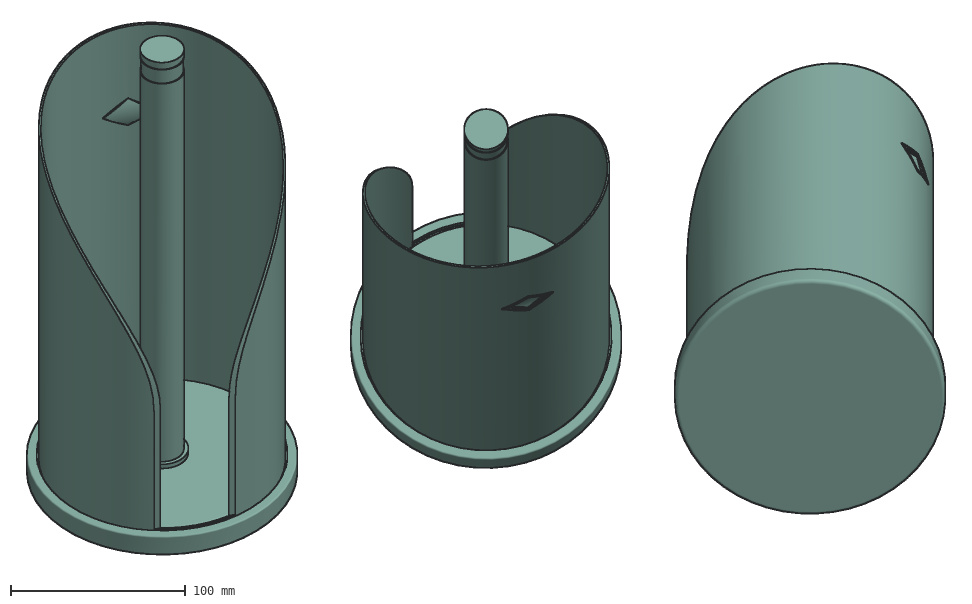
import cadquery as cq

total_height = 307.0

base_diameter = 155.0
base_radius = base_diameter / 2
rim_height = 14.0
floor_height = 15.0
groove_outer_radius = 72.0
groove_depth = 3.0
top_edge_fillet = 1.0
bottom_edge_fillet = 2.0

tube_radius = 70.5
tube_wall = 1.2
tube_inner_radius = tube_radius - tube_wall
tube_bottom = rim_height - groove_depth
tube_top = 272.5
opening_x = 66.3
opening_curve_end = 99.5
upper_handle_run = 78.5
upper_handle_drop = 27.0
lower_handle_rise = 101.0

dent_center_height = 210.0
frame_half_width = 15.7
frame_half_height = 9.8
frame_depth = 0.45
dent_half_width = 11.7
dent_half_height = 7.5
dent_depth = 2.0
dent_floor_radius = 21.5

rod_radius = 12.5
collar_radius = 15.0
collar_height = 3.0
head_height = 5.2
neck_height = 10.0
neck_depth = 0.45

overshoot = 6.0


def ring(outer_radius, inner_radius, bottom, height):
    """Upright ring centred on the Z axis."""
    return cq.Workplane("XY").workplane(offset=bottom).circle(outer_radius).circle(inner_radius).extrude(height)


def make_base():
    plate = cq.Workplane("XY").circle(base_radius).extrude(rim_height)
    plate = plate.faces(">Z").edges().fillet(top_edge_fillet)
    plate = plate.faces("<Z").edges().fillet(bottom_edge_fillet)
    floor = cq.Workplane("XY").circle(tube_inner_radius).extrude(floor_height)
    floor = floor.faces(">Z").edges().fillet(top_edge_fillet)
    groove = ring(groove_outer_radius, tube_inner_radius, tube_bottom, groove_depth)
    return plate.cut(groove).union(floor)


def diamond_prism(half_width, half_height):
    """Diamond outline in the YZ plane, running from outside the tube towards its axis."""
    corners = [(half_width, 0), (0, half_height), (-half_width, 0), (0, -half_height)]
    return (
        cq.Workplane("YZ", origin=(-tube_radius - overshoot, 0, dent_center_height))
        .polyline(corners)
        .close()
        .extrude(2 * overshoot)
    )


def dent_roller(radius):
    """Cylinder lying along Y, whose innermost line touches the dent floor when given the floor radius."""
    axis_x = -tube_radius + dent_depth - dent_floor_radius
    return (
        cq.Workplane("XZ", origin=(axis_x, 0, dent_center_height))
        .circle(radius)
        .extrude(frame_half_width, both=True)
    )


def add_dent(tube):
    """Press in a shallow diamond frame and, inside it, a dent with a wall of tube thickness behind it."""
    frame_outline = diamond_prism(frame_half_width, frame_half_height)
    tube_envelope = cq.Workplane("XY").circle(tube_radius).extrude(tube_top)
    backing = dent_roller(dent_floor_radius + tube_wall).intersect(frame_outline).intersect(tube_envelope)

    frame_skin = ring(tube_radius + overshoot, tube_radius - frame_depth, 0, tube_top)
    frame = frame_skin.intersect(frame_outline)
    hollow = dent_roller(dent_floor_radius).intersect(diamond_prism(dent_half_width, dent_half_height))
    return tube.union(backing).cut(frame).cut(hollow)


def make_tube():
    tube = ring(tube_radius, tube_inner_radius, tube_bottom, tube_top - tube_bottom)
    curve_start = (-tube_radius, tube_top)
    curve_end = (opening_x, opening_curve_end)
    upper_handle = (-tube_radius + upper_handle_run, tube_top - upper_handle_drop)
    lower_handle = (opening_x, opening_curve_end + lower_handle_rise)
    far_x = tube_radius + overshoot
    opening = (
        cq.Workplane("XZ")
        .moveTo(*curve_start)
        .bezier([curve_start, upper_handle, lower_handle, curve_end])
        .lineTo(opening_x, rim_height)
        .lineTo(far_x, rim_height)
        .lineTo(far_x, tube_top + overshoot)
        .lineTo(-tube_radius, tube_top + overshoot)
        .close()
        .extrude(far_x, both=True)
    )
    return add_dent(tube.cut(opening))


def make_rod():
    rod_length = total_height - floor_height
    rod = cq.Workplane("XY").workplane(offset=floor_height).circle(rod_radius).extrude(rod_length)
    collar = cq.Workplane("XY").workplane(offset=floor_height).circle(collar_radius).extrude(collar_height)
    neck_bottom = total_height - head_height - neck_height
    neck_cut = ring(rod_radius + overshoot, rod_radius - neck_depth, neck_bottom, neck_height)
    return rod.cut(neck_cut).union(collar)


base = make_base()
tube = make_tube()
rod = make_rod()

result = cq.Compound.makeCompound([base.val(), tube.val(), rod.val()])